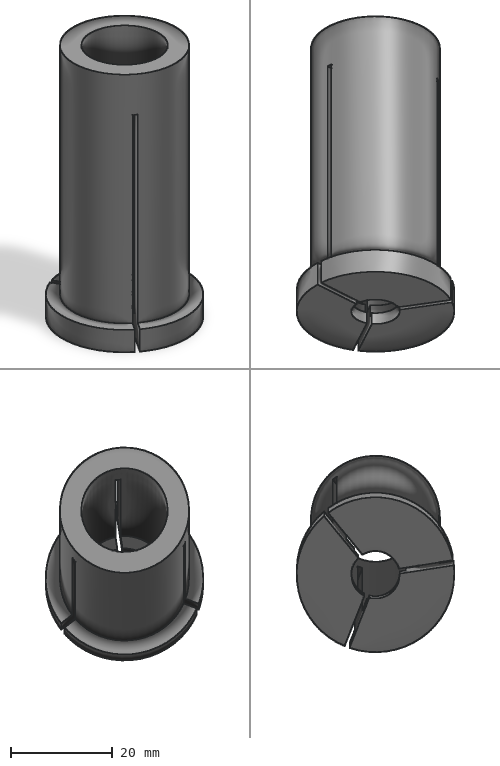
import cadquery as cq

length = 60
body_diameter = 25.45
flange_diameter = 31.0
flange_height = 5.0

bore_diameter = 17.0
step_diameter = 12
hole_diameter = 9.5
bore_floor = flange_height
step_floor = bore_floor / 2

slit_count = 3
slit_width = 1.0
slit_top = 51
first_slit_angle = 90


def upright_cylinder(diameter, bottom):
    """Solid cylinder on the Z axis, from the given height to the top of the sleeve."""
    return cq.Workplane("XY", origin=(0, 0, bottom)).circle(diameter / 2).extrude(length - bottom)


def slit(angle):
    """Radial cut from the axis outward past the flange, open at the bottom."""
    return (
        cq.Workplane("XY")
        .box(flange_diameter, slit_width, slit_top, centered=(False, True, False))
        .rotate((0, 0, 0), (0, 0, 1), angle)
    )


flange = cq.Workplane("XY").circle(flange_diameter / 2).extrude(flange_height)
sleeve = upright_cylinder(body_diameter, 0).union(flange)

sleeve = sleeve.cut(upright_cylinder(hole_diameter, 0))
sleeve = sleeve.cut(upright_cylinder(step_diameter, step_floor))
sleeve = sleeve.cut(upright_cylinder(bore_diameter, bore_floor))

for index in range(slit_count):
    sleeve = sleeve.cut(slit(first_slit_angle + index * 360 / slit_count))

result = sleeve